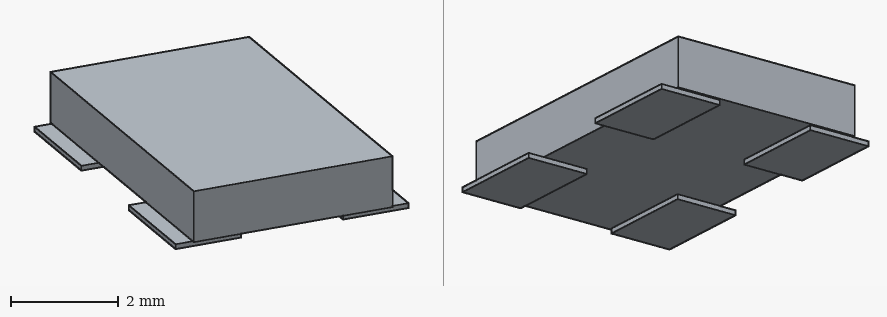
import cadquery as cq

housing_length = 6.35
housing_width = 4.05
housing_height = 1.02

pad_thickness = 0.10
pad_length = 2.08
pad_end_inset = 0.05
pad_span = 4.75
pad_gap = 2.08

pad_width = (pad_span - pad_gap) / 2
pad_center_x = housing_length / 2 - pad_end_inset - pad_length / 2
pad_center_y = (pad_span - pad_width) / 2


def make_housing():
    """Block whose underside rests on top of the pads."""
    return (
        cq.Workplane("XY")
        .workplane(offset=pad_thickness)
        .rect(housing_length, housing_width)
        .extrude(housing_height)
    )


def make_pad(center_x, center_y):
    """Flat terminal plate standing on the Z = 0 plane."""
    return (
        cq.Workplane("XY")
        .center(center_x, center_y)
        .rect(pad_length, pad_width)
        .extrude(pad_thickness)
    )


housing = make_housing()

pads = []
for side_x in (-1, 1):
    for side_y in (-1, 1):
        pads.append(make_pad(side_x * pad_center_x, side_y * pad_center_y))

result = cq.Compound.makeCompound([housing.val(), *[pad.val() for pad in pads]])